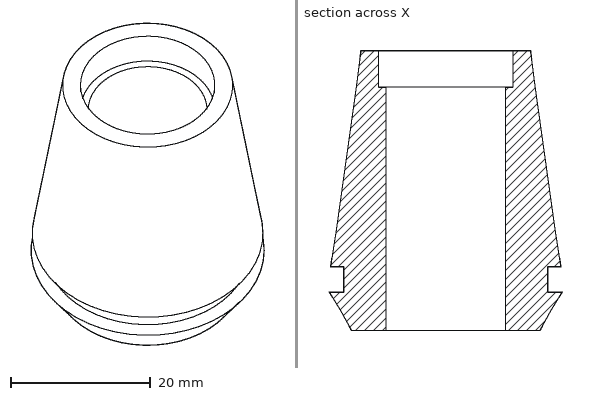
import cadquery as cq
import math

total_height = 40.0
flange_height = 5.5
groove_width = 3.6

taper_base_diameter = 33.0
taper_half_angle = 8.0

flange_diameter = 33.35
flange_half_angle = 30.0

groove_diameter = 29.2

bore_diameter = 17.0
counterbore_diameter = 19.2
counterbore_depth = 5.2

taper_base_z = flange_height + groove_width


def cone_run(length, half_angle):
    """Change in radius along a cone of the given length and half angle."""
    return length * math.tan(math.radians(half_angle))


def make_body():
    """Revolve the solid outer profile around the Z axis."""
    flange_radius = flange_diameter / 2
    flange_bottom_radius = flange_radius - cone_run(flange_height, flange_half_angle)
    groove_radius = groove_diameter / 2
    taper_base_radius = taper_base_diameter / 2
    taper_top_radius = taper_base_radius - cone_run(total_height - taper_base_z, taper_half_angle)
    profile = (
        cq.Workplane("XZ")
        .moveTo(0, 0)
        .lineTo(flange_bottom_radius, 0)
        .lineTo(flange_radius, flange_height)
        .lineTo(groove_radius, flange_height)
        .lineTo(groove_radius, taper_base_z)
        .lineTo(taper_base_radius, taper_base_z)
        .lineTo(taper_top_radius, total_height)
        .lineTo(0, total_height)
        .close()
    )
    return profile.revolve(360, (0, 0, 0), (0, 1, 0))


def cut_stepped_bore(body):
    """Cut the through bore and its counterbore from the top face."""
    return body.faces(">Z").workplane().cboreHole(bore_diameter, counterbore_diameter, counterbore_depth)


result = cut_stepped_bore(make_body())